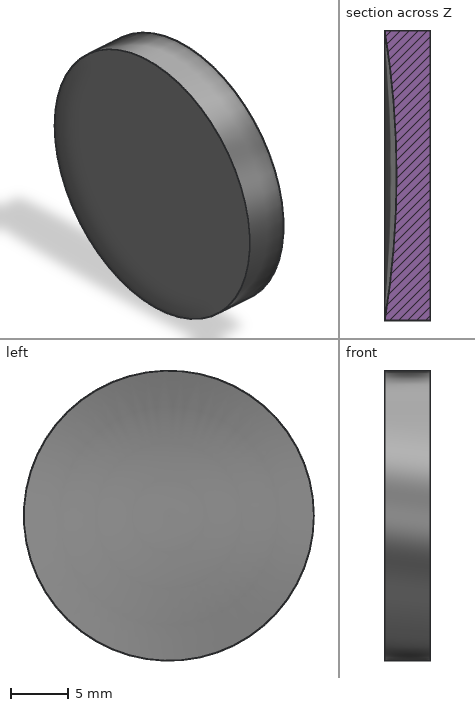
import cadquery as cq

diameter = 25.4
edge_thickness = 4.01
dish_depth = 1.05

radius = diameter / 2
front_x = -edge_thickness / 2
back_x = edge_thickness / 2
dish_bottom_x = front_x + dish_depth

sphere_radius = (radius**2 + dish_depth**2) / (2 * dish_depth)
sphere_center_x = dish_bottom_x - sphere_radius

mid_y = radius / 2
mid_x = sphere_center_x + (sphere_radius**2 - mid_y**2) ** 0.5

half_section = (
    cq.Workplane("XY")
    .moveTo(dish_bottom_x, 0)
    .lineTo(back_x, 0)
    .lineTo(back_x, -radius)
    .lineTo(front_x, -radius)
    .threePointArc((mid_x, -mid_y), (dish_bottom_x, 0))
    .close()
)

result = half_section.revolve(360, (0, 0, 0), (1, 0, 0))